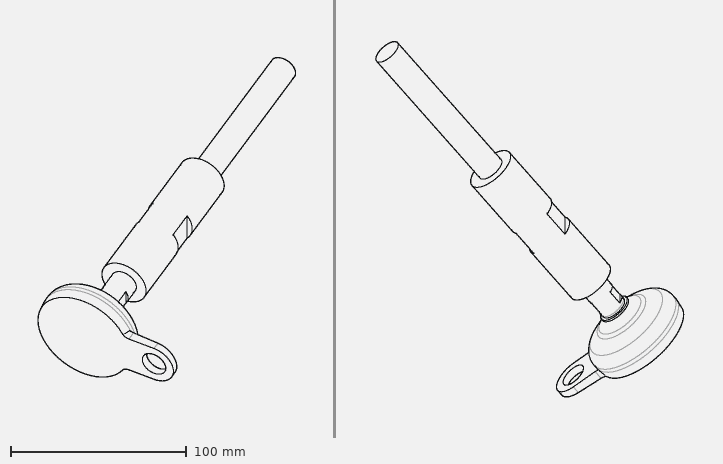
import cadquery as cq
import math


foot_radius = 30.0
underside_radius = 29.2
rim_height = 6.0
band_top = 8.5
shoulder_radius = 8.0
lower_cone_angle = 62.0
foot_top_radius = 9.5
foot_top_height = 27.3
neck_rim = 1.2
cone_meet_radius = 16.0
cone_blend_radius = 14.0

lug_end_radius = 12.5
lug_hole_diameter = 15.0
lug_reach = 58.0
lug_hole_x = lug_reach - lug_end_radius
lug_corner_radius = 5.0
lug_slope_angle = 3.0
lug_slope_start_x = 24.0

spindle_radius = 8.0
spindle_top = 243.0
spindle_flats_width = 13.0
spindle_flats_bottom = 30.4
spindle_flats_top = 39.5
spindle_tip_radius = 7.7
spindle_taper_length = 1.4

sleeve_radius = 14.25
sleeve_bottom = 49.5
sleeve_length = 95.0
sleeve_flats_width = 22.0
sleeve_flats_length = 17.0


def revolve_about_y(profile):
    return profile.close().revolve(360, (0, 0, 0), (0, 1, 0))


def cylinder(radius, bottom, top):
    """Round bar along Y."""
    return cq.Workplane("XZ", origin=(0, bottom, 0)).circle(radius).extrude(bottom - top)


def cut_flats(body, radius, width, bottom, top):
    """Cut two parallel wrench flats facing -X and +X."""
    depth = radius - width / 2
    for side in (-1, 1):
        cutter = cq.Workplane("XY").box(depth, top - bottom, 2 * radius)
        center_x = side * (width + depth) / 2
        body = body.cut(cutter.translate((center_x, (bottom + top) / 2, 0)))
    return body


def make_foot_disc():
    angle = math.radians(lower_cone_angle)
    round_center = foot_radius - shoulder_radius

    def shoulder_point(turn):
        return (round_center + shoulder_radius * math.cos(turn),
                band_top + shoulder_radius * math.sin(turn))

    cone_base = shoulder_point(angle)
    cone_meet_height = cone_base[1] + (cone_base[0] - cone_meet_radius) / math.tan(angle)
    disc = revolve_about_y(
        cq.Workplane("XY")
        .lineTo(underside_radius, 0)
        .lineTo(foot_radius, rim_height)
        .lineTo(foot_radius, band_top)
        .threePointArc(shoulder_point(angle / 2), cone_base)
        .lineTo(cone_meet_radius, cone_meet_height)
        .lineTo(foot_top_radius, foot_top_height - neck_rim)
        .lineTo(foot_top_radius, foot_top_height)
        .lineTo(0, foot_top_height)
    )
    margin = neck_rim / 2
    cone_meet_edge = cq.selectors.BoxSelector(
        (-foot_radius, cone_meet_height - margin, -foot_radius),
        (foot_radius, cone_meet_height + margin, foot_radius),
    )
    return disc.edges("%CIRCLE").edges(cone_meet_edge).fillet(cone_blend_radius)


def make_lug():
    corner_z = lug_end_radius + lug_corner_radius
    corner_distance = underside_radius + lug_corner_radius
    corner_x = math.sqrt(corner_distance**2 - corner_z**2)
    root_x = corner_x * underside_radius / corner_distance
    root_z = corner_z * underside_radius / corner_distance
    to_disc = math.atan2(-corner_z, -corner_x)
    middle = (to_disc - math.pi / 2) / 2
    arc_x = corner_x + lug_corner_radius * math.cos(middle)
    arc_z = corner_z + lug_corner_radius * math.sin(middle)

    plate = (
        cq.Workplane("XZ")
        .moveTo(0, -root_z)
        .lineTo(root_x, -root_z)
        .threePointArc((arc_x, -arc_z), (corner_x, -lug_end_radius))
        .lineTo(lug_hole_x, -lug_end_radius)
        .threePointArc((lug_reach, 0), (lug_hole_x, lug_end_radius))
        .lineTo(corner_x, lug_end_radius)
        .threePointArc((arc_x, arc_z), (root_x, root_z))
        .lineTo(0, root_z)
        .close()
        .extrude(-rim_height)
    )
    slope_drop = (lug_reach - lug_slope_start_x) * math.tan(math.radians(lug_slope_angle))
    above_slope = (
        cq.Workplane("XY")
        .moveTo(lug_slope_start_x, rim_height)
        .lineTo(lug_reach, rim_height - slope_drop)
        .lineTo(lug_reach, rim_height)
        .close()
        .extrude(corner_z, both=True)
    )
    return plate.cut(above_slope)


def make_foot():
    lug_hole = cylinder(lug_hole_diameter / 2, 0, rim_height).translate((lug_hole_x, 0, 0))
    return make_foot_disc().union(make_lug()).cut(lug_hole)


def make_spindle():
    spindle = revolve_about_y(
        cq.Workplane("XY")
        .moveTo(0, foot_top_height)
        .lineTo(spindle_tip_radius, foot_top_height)
        .lineTo(spindle_radius, foot_top_height + spindle_taper_length)
        .lineTo(spindle_radius, spindle_top)
        .lineTo(0, spindle_top)
    )
    return cut_flats(
        spindle, spindle_radius, spindle_flats_width, spindle_flats_bottom, spindle_flats_top
    )


def make_sleeve():
    sleeve_top = sleeve_bottom + sleeve_length
    sleeve = cylinder(sleeve_radius, sleeve_bottom, sleeve_top)
    bore = cylinder(spindle_radius, sleeve_bottom, sleeve_top)
    flats_bottom = sleeve_bottom + (sleeve_length - sleeve_flats_length) / 2
    flats_top = flats_bottom + sleeve_flats_length
    return cut_flats(sleeve.cut(bore), sleeve_radius, sleeve_flats_width, flats_bottom, flats_top)


foot = make_foot()
spindle = make_spindle()
sleeve = make_sleeve()

result = cq.Compound.makeCompound([foot.val(), spindle.val(), sleeve.val()])